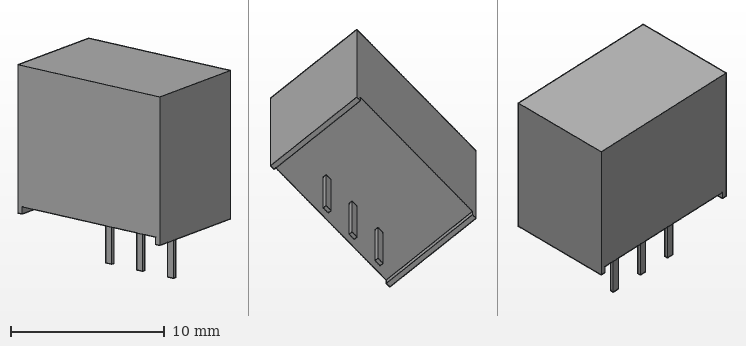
import cadquery as cq

housing_length = 11.7
housing_width = 7.5
total_height = 14.2

housing_height = 10.1
rail_thickness = 0.35
rail_height = 0.5

pin_count = 3
pin_pitch = 2.54
pin_width = 0.5
pin_thickness = 0.25
pin_row_y = 1.75

rail_bottom = total_height - housing_height
housing_floor = rail_bottom + rail_height


def make_housing():
    """Block with a shallow channel through its underside, leaving a rail at each end."""
    block = cq.Workplane("XY").workplane(offset=rail_bottom).rect(housing_length, housing_width)
    block = block.extrude(housing_height)
    channel_length = housing_length - 2 * rail_thickness
    channel = cq.Workplane("XY").workplane(offset=rail_bottom).rect(channel_length, housing_width)
    channel = channel.extrude(rail_height)
    return block.cut(channel)


def make_pin(x):
    """Flat pin that hangs from the floor of the housing."""
    return cq.Workplane("XY").center(x, pin_row_y).rect(pin_width, pin_thickness).extrude(housing_floor)


housing = make_housing()

pins = []
for index in range(pin_count):
    pin_x = (index - (pin_count - 1) / 2) * pin_pitch
    pins.append(make_pin(pin_x))

result = cq.Compound.makeCompound([housing.val(), *[pin.val() for pin in pins]])